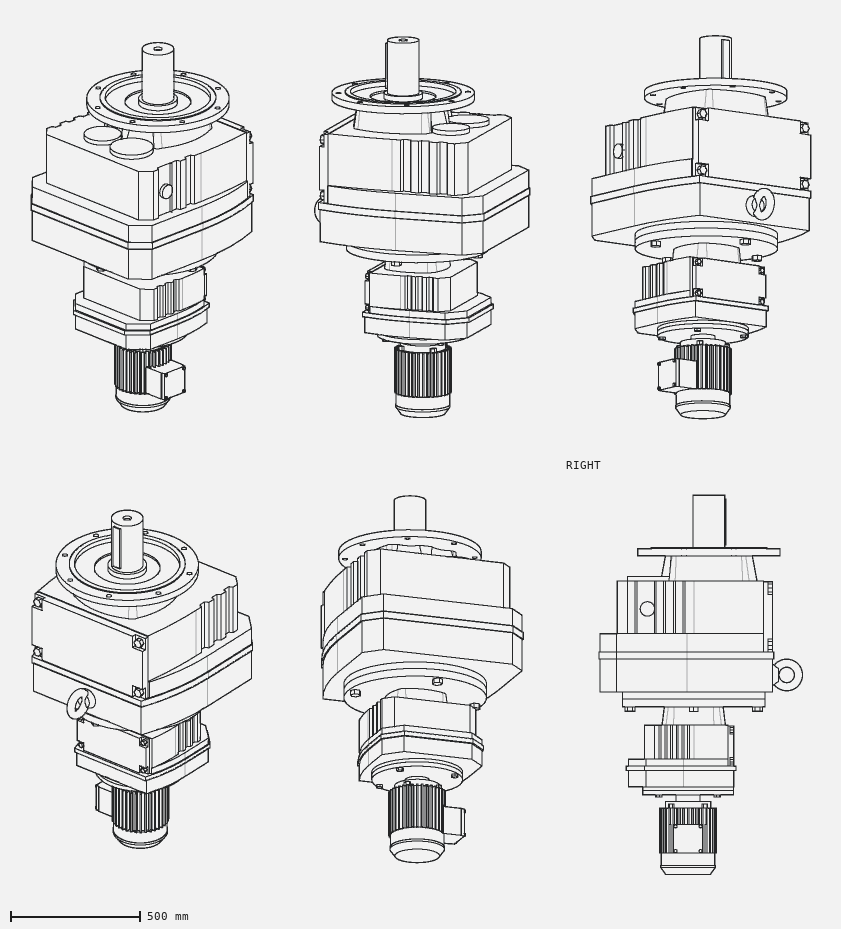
import cadquery as cq
import math


cowl_chamfer_z = 26.0
cowl_band_top_z = 35.0
fins_bottom_z = 84.0
box_top_z = 194.0
fins_top_z = 257.0
motor_disc_top_z = 284.0
motor_flange_bottom_z = 309.0
motor_joint_z = 326.0
small_lower_z = 340.0
small_rib_bottom_z = 403.0
small_rib_top_z = 420.0
small_mid_top_z = 447.0
small_top_z = 579.0
input_flange_bottom_z = 650.0
main_joint_z = 680.0
main_lower_z = 707.0
main_rib_bottom_z = 835.0
main_rib_top_z = 863.0
main_mid_top_z = 933.0
main_top_z = 1138.0
output_flange_bottom_z = 1235.0
output_flange_top_z = 1263.0
spigot_top_z = 1267.0
shaft_top_z = 1470.0

small_axis_y = -59.0
motor_axis_y = -81.0

large_flange_radius = 276.0
large_flange_bolt_circle = 247.0
small_flange_radius = 176.0
small_flange_bolt_circle = 160.0

shaft_radius = 62.0
spigot_radius = 225.0
output_recess_radius = 205.0
output_recess_floor_z = 1248.0
seal_recess_radius = 128.0
seal_recess_floor_z = 1240.0
collar_radius = 75.0
collar_top_z = 1261.0
flange_hole_count = 8
flange_hole_radius = 9.5
flange_hole_circle = 251.0
key_half_width = 16.0
key_top_y = 66.0
key_bottom_z = 1277.0
key_top_z = 1455.0
center_hole_diameter = 24.0
center_hole_sink_diameter = 32.0
center_hole_depth = 44.0
center_hole_sink_angle = 60

main_neck_bottom = (187.0, (131.0, 156.0), 209.0)
main_neck_top = (169.0, (126.0, 143.0), 194.0)
small_neck_bottom = (123.0, (78.0, 107.0), 135.0)
small_neck_top = (115.0, (76.0, 98.0), 128.0)

main_upper_plan = (295.0, 273.0, -356.0, -57.0, 212.0, 41.0)
main_mid_plan = (331.0, 281.0, -422.0, -85.0, 212.0, 65.0)
main_rib_plan = (335.0, 272.0, -426.0, -85.0, 251.0, 68.0)
main_lower_plan = (331.0, 268.0, -422.0, -85.0, 247.0, 65.0)
small_upper_plan = (194.0, 182.0, -250.0, -57.0, 74.0, 38.0)
small_mid_plan = (207.0, 181.0, -312.0, -98.0, 74.0, 68.0)
small_rib_plan = (212.0, 176.0, -320.0, -98.0, 106.0, 70.0)
small_lower_plan = (207.0, 173.0, -312.0, -98.0, 97.0, 68.0)

slot_count = 3
main_slots = (-115.0, 75.0, 44.0, 30.0, 15.0)
small_slots = (-90.0, 44.0, 30.0, 15.0, 10.0)

main_pad = (275.0, 212.0, 247.0, 1135.0)
small_pad = (170.0, 74.0, 97.0, 576.0)
main_pad_pocket = (50.0, 18.0, 35.0)
small_pad_pocket = (32.0, 15.0, 20.0)

main_side_x = main_upper_plan[0]
main_back_y = main_lower_plan[4]
cap_top_z = 1155.0
cap_scallop_clearance = 6.0
bearing_caps = ((-78.0, -223.0, 72.0), (91.0, -232.0, 84.0))
plug_radius = 28.0
plug_y = -238.0
plug_z = 1029.0
plug_depth = main_slots[-1]
eye_outer_y = 363.0
eye_z = 773.0
eye_ring_radius = 45.0
eye_wire_radius = 16.0
eye_y = eye_outer_y - eye_ring_radius - eye_wire_radius
eye_boss_top_y = 270.0
eye_boss_base_radius = 41.0
eye_boss_top_radius = 30.0

input_bolt_bottom_z = 632.0
input_bolt_diameter = 40.0
motor_bolt_bottom_z = 300.0
motor_bolt_diameter = 26.0
disc_screw_top_z = 273.0
disc_screw_circle = 90.0
disc_screw_diameter = 26.0
bolt_count = 4
input_bolt_angle = 0
motor_bolt_angle = 45

neck_radius = 47.0
motor_disc_radius = 88.0
cowl_radius = 105.0
cowl_band_radius = 106.0
cowl_bottom_radius = 87.0
fin_root_radius = 94.0
fin_tip_radius = 110.0
fin_count = 36
fin_thickness = 6.0
fin_root_overlap = 3.0
box_half_depth = 59.0
lid_half_depth = 56.0
box_fin_gap_x = 82.0
box_side_x = 160.0
lid_side_x = 175.0
lid_screw_side_x = 180.0
lid_screw_radius = 6.0
lid_screw_inset = 7.0


def cylinder(radius, bottom_z, top_z, x=0, y=0):
    """Upright round post."""
    base = cq.Workplane("XY", origin=(x, y, bottom_z))
    return base.circle(radius).extrude(top_z - bottom_z)


def cone(bottom_radius, top_radius, bottom_z, top_z, y=0):
    """Upright truncated cone."""
    profile = [(0, bottom_z), (bottom_radius, bottom_z), (top_radius, top_z), (0, top_z)]
    return cq.Workplane("XZ").polyline(profile).close().revolve(360, (0, 0), (0, 1)).translate((0, y, 0))


def block(x_range, y_range, z_range):
    """Box given by its limits along each axis."""
    size = [high - low for low, high in (x_range, y_range, z_range)]
    return cq.Workplane("XY").box(*size, centered=False).translate((x_range[0], y_range[0], z_range[0]))


def housing_section(plan, bottom_z, top_z):
    """Prism with chamfered front corners and sides that curve inward toward the back."""
    half_width, back_half_width, front_y, arc_y, back_y, chamfer = plan
    inset = half_width - back_half_width
    length = back_y - arc_y
    side_radius = (length**2 + inset**2) / (2 * inset)
    half_angle = math.asin(length / side_radius) / 2
    middle_x = half_width - side_radius * (1 - math.cos(half_angle))
    middle_y = arc_y + side_radius * math.sin(half_angle)
    return (
        cq.Workplane("XY", origin=(0, 0, bottom_z))
        .moveTo(chamfer - half_width, front_y)
        .lineTo(half_width - chamfer, front_y)
        .lineTo(half_width, front_y + chamfer)
        .lineTo(half_width, arc_y)
        .threePointArc((middle_x, middle_y), (back_half_width, back_y))
        .lineTo(-back_half_width, back_y)
        .threePointArc((-middle_x, middle_y), (-half_width, arc_y))
        .lineTo(-half_width, front_y + chamfer)
        .close()
        .extrude(top_z - bottom_z)
    )


def side_slots(half_width, slots, bottom_z, top_z):
    """Vertical slots with sloping walls, cut into both sides of a housing."""
    first_y, pitch, mouth_width, floor_width, depth = slots
    floor_x = half_width - depth
    cutter = cq.Workplane("XY")
    for index in range(slot_count):
        y = first_y - index * pitch
        for side in (-1, 1):
            profile = [
                (side * half_width, y - mouth_width / 2),
                (side * half_width, y + mouth_width / 2),
                (side * floor_x, y + floor_width / 2),
                (side * floor_x, y - floor_width / 2),
            ]
            slot = cq.Workplane("XY", origin=(0, 0, bottom_z)).polyline(profile).close()
            cutter = cutter.union(slot.extrude(top_z - bottom_z))
    return cutter


def flange_neck(bottom, top, bottom_z, top_z, y=0):
    """Tapered neck between two rounded squares with bulged sides."""
    base = rounded_square(cq.Workplane("XY", origin=(0, y, bottom_z)), bottom)
    return rounded_square(base.workplane(offset=top_z - bottom_z), top).loft(ruled=True)


def rounded_square(plane, shape):
    """Outline of four bulged sides joined by corner arcs."""
    axis_reach, (along, outward), diagonal_reach = shape
    corner = diagonal_reach / math.sqrt(2)
    outline = plane.moveTo(outward, -along)
    for ux, uy in ((1, 0), (0, 1), (-1, 0), (0, -1)):
        side_middle = (axis_reach * ux, axis_reach * uy)
        side_end = (outward * ux - along * uy, outward * uy + along * ux)
        corner_middle = (corner * (ux - uy), corner * (ux + uy))
        next_side = (along * ux - outward * uy, along * uy + outward * ux)
        outline = outline.threePointArc(side_middle, side_end).threePointArc(corner_middle, next_side)
    return outline.close()


def back_pad(pad_limits, pocket_sizes, bottom_z):
    """Mounting pad on the back, with a screw in a pocket at each of its four corners."""
    half_width, front_y, back_y, top_z = pad_limits
    pocket, pocket_depth, screw_diameter = pocket_sizes
    pocket_floor_y = back_y - pocket_depth
    pad = block((-half_width, half_width), (front_y, back_y), (bottom_z, top_z))
    for side in (-1, 1):
        for low_z in (bottom_z, top_z - pocket):
            x = side * (half_width - pocket / 2)
            x_range = (x - pocket / 2, x + pocket / 2)
            pad = pad.cut(block(x_range, (pocket_floor_y, back_y), (low_z, low_z + pocket)))
            seat = cq.Workplane("XZ", origin=(x, pocket_floor_y, low_z + pocket / 2))
            pad = pad.union(seat.polygon(6, screw_diameter).extrude(-pocket_depth))
    return pad


def hex_heads(first_angle, bolt_circle, diameter, bottom_z, top_z, y):
    """Ring of hexagonal bolt heads."""
    return (
        cq.Workplane("XY", origin=(0, y, bottom_z))
        .polarArray(bolt_circle, first_angle, 360, bolt_count)
        .polygon(6, diameter)
        .extrude(top_z - bottom_z)
    )


def main_housing():
    """Stepped housing with joint rib, side slots, back pad and input-side disc."""
    upper = housing_section(main_upper_plan, main_mid_top_z, main_top_z)
    upper = upper.cut(side_slots(main_upper_plan[0], main_slots, main_mid_top_z, main_top_z))
    mid = housing_section(main_mid_plan, main_rib_top_z, main_mid_top_z)
    rib = housing_section(main_rib_plan, main_rib_bottom_z, main_rib_top_z)
    lower = housing_section(main_lower_plan, main_lower_z, main_rib_bottom_z)
    pad = back_pad(main_pad, main_pad_pocket, main_rib_top_z)
    disc = cylinder(large_flange_radius, main_joint_z, main_lower_z, y=small_axis_y)
    return upper.union(mid).union(rib).union(lower).union(pad).union(disc)


def level_plug():
    """Round plug on the +X side, flush with the side face."""
    plane = cq.Workplane("YZ", origin=(main_side_x - plug_depth, plug_y, plug_z))
    return plane.circle(plug_radius).extrude(plug_depth)


def plug_recess():
    """Widening of the front slot on the +X side that makes room for the plug."""
    x_range = (main_side_x - plug_depth, main_side_x)
    y_range = (plug_y - plug_radius, plug_y + plug_radius)
    return block(x_range, y_range, (main_mid_top_z, main_top_z))


def lifting_eye():
    """Ring bolt on the back, on a tapered round boss."""
    ring = (
        cq.Workplane("XY", origin=(0, eye_y, eye_z))
        .center(0, eye_ring_radius)
        .circle(eye_wire_radius)
        .revolve(360, (-15, -eye_ring_radius), (15, -eye_ring_radius))
    )
    boss = (
        cq.Workplane("XZ", origin=(0, main_back_y, eye_z))
        .circle(eye_boss_base_radius)
        .workplane(offset=main_back_y - eye_boss_top_y)
        .circle(eye_boss_top_radius)
        .loft()
    )
    return ring.union(boss)


def output_flange():
    """Tapered neck and flange with centring spigot, stepped recess and bolt holes."""
    neck = flange_neck(main_neck_bottom, main_neck_top, main_top_z, output_flange_bottom_z)
    for x, y, radius in bearing_caps:
        scallop = cylinder(radius + cap_scallop_clearance, main_top_z, output_flange_bottom_z, x, y)
        neck = neck.cut(scallop)
    flange = cylinder(large_flange_radius, output_flange_bottom_z, output_flange_top_z)
    flange = flange.union(cylinder(spigot_radius, output_flange_top_z, spigot_top_z))
    flange = flange.cut(cylinder(output_recess_radius, output_recess_floor_z, spigot_top_z))
    flange = flange.cut(cylinder(seal_recess_radius, seal_recess_floor_z, spigot_top_z))
    holes = (
        cq.Workplane("XY", origin=(0, 0, output_flange_bottom_z))
        .polarArray(flange_hole_circle, 180 / flange_hole_count, 360, flange_hole_count)
        .circle(flange_hole_radius)
        .extrude(output_flange_top_z - output_flange_bottom_z)
    )
    return neck.union(flange.cut(holes))


def output_shaft():
    """Keyed shaft with a countersunk centre hole, rising from a collar."""
    shaft = cylinder(shaft_radius, seal_recess_floor_z, shaft_top_z)
    shaft = shaft.faces(">Z").workplane().cskHole(
        center_hole_diameter, center_hole_sink_diameter, center_hole_sink_angle, center_hole_depth
    )
    collar = cylinder(collar_radius, seal_recess_floor_z, collar_top_z)
    key = block((-key_half_width, key_half_width), (shaft_radius / 2, key_top_y), (key_bottom_z, key_top_z))
    return shaft.union(collar).union(key)


def build_main_unit():
    unit = main_housing().cut(plug_recess()).union(level_plug()).union(lifting_eye())
    for x, y, radius in bearing_caps:
        unit = unit.union(cylinder(radius, main_top_z, cap_top_z, x, y))
    return unit.union(output_flange()).union(output_shaft())


def small_housing():
    """Stepped housing with joint rib, side slots, back pad and motor-side disc."""
    upper = housing_section(small_upper_plan, small_mid_top_z, small_top_z)
    upper = upper.cut(side_slots(small_upper_plan[0], small_slots, small_mid_top_z, small_top_z))
    mid = housing_section(small_mid_plan, small_rib_top_z, small_mid_top_z)
    rib = housing_section(small_rib_plan, small_rib_bottom_z, small_rib_top_z)
    lower = housing_section(small_lower_plan, small_lower_z, small_rib_bottom_z)
    pad = back_pad(small_pad, small_pad_pocket, small_rib_top_z)
    disc = cylinder(small_flange_radius, motor_joint_z, small_lower_z, y=motor_axis_y)
    return upper.union(mid).union(rib).union(lower).union(pad).union(disc)


def input_flange():
    """Tapered neck and flange, with bolt heads under it, that carry the main unit."""
    neck = flange_neck(
        small_neck_bottom, small_neck_top, small_top_z, input_flange_bottom_z, small_axis_y
    )
    flange = cylinder(large_flange_radius, input_flange_bottom_z, main_joint_z, y=small_axis_y)
    heads = hex_heads(
        input_bolt_angle,
        large_flange_bolt_circle,
        input_bolt_diameter,
        input_bolt_bottom_z,
        input_flange_bottom_z,
        small_axis_y,
    )
    return neck.union(flange).union(heads)


def build_small_unit():
    return small_housing().union(input_flange())


def motor_mount():
    """Flange with bolt heads, neck and end disc with its screws."""
    flange = cylinder(small_flange_radius, motor_flange_bottom_z, motor_joint_z, y=motor_axis_y)
    heads = hex_heads(
        motor_bolt_angle,
        small_flange_bolt_circle,
        motor_bolt_diameter,
        motor_bolt_bottom_z,
        motor_flange_bottom_z,
        motor_axis_y,
    )
    neck = cylinder(neck_radius, motor_disc_top_z, motor_flange_bottom_z, y=motor_axis_y)
    disc = cylinder(motor_disc_radius, fins_top_z, motor_disc_top_z, y=motor_axis_y)
    screws = hex_heads(
        motor_bolt_angle,
        disc_screw_circle,
        disc_screw_diameter,
        fins_top_z,
        disc_screw_top_z,
        motor_axis_y,
    )
    return flange.union(heads).union(neck).union(disc).union(screws)


def finned_frame():
    """Round frame with radial cooling fins, left out around the terminal box."""
    fin_height = fins_top_z - fins_bottom_z
    fin_start = fin_root_radius - fin_root_overlap
    fins = (
        cq.Workplane("XY", origin=(0, motor_axis_y, fins_bottom_z))
        .polarArray((fin_start + fin_tip_radius) / 2, 0, 360, fin_count)
        .rect(fin_tip_radius - fin_start, fin_thickness)
        .extrude(fin_height)
    )
    gap_y = (motor_axis_y - fin_tip_radius, motor_axis_y + fin_tip_radius)
    fins = fins.cut(block((box_fin_gap_x, box_side_x), gap_y, (fins_bottom_z, box_top_z)))
    return cylinder(fin_root_radius, fins_bottom_z, fins_top_z, y=motor_axis_y).union(fins)


def fan_cowl():
    """Round fan cover with a slightly wider band above its chamfered bottom edge."""
    cover = cylinder(cowl_radius, cowl_band_top_z, fins_bottom_z, y=motor_axis_y)
    band = cylinder(cowl_band_radius, cowl_chamfer_z, cowl_band_top_z, y=motor_axis_y)
    edge = cone(cowl_bottom_radius, cowl_band_radius, 0, cowl_chamfer_z, motor_axis_y)
    return cover.union(band).union(edge)


def terminal_box():
    """Box on the +X side with a lid and four lid screws."""
    z_range = (fins_bottom_z, box_top_z)
    box_y = (motor_axis_y - box_half_depth, motor_axis_y + box_half_depth)
    lid_y = (motor_axis_y - lid_half_depth, motor_axis_y + lid_half_depth)
    box = block((0, box_side_x), box_y, z_range)
    lid = block((box_side_x, lid_side_x), lid_y, z_range)
    screws = (
        cq.Workplane("YZ", origin=(lid_side_x, motor_axis_y, (fins_bottom_z + box_top_z) / 2))
        .rect(
            2 * (lid_half_depth - lid_screw_inset),
            box_top_z - fins_bottom_z - 2 * lid_screw_inset,
            forConstruction=True,
        )
        .vertices()
        .circle(lid_screw_radius)
        .extrude(lid_screw_side_x - lid_side_x)
    )
    return box.union(lid).union(screws)


def build_motor():
    return motor_mount().union(finned_frame()).union(fan_cowl()).union(terminal_box())


main_unit = build_main_unit()
small_unit = build_small_unit()
motor = build_motor()
result = cq.Compound.makeCompound([main_unit.val(), small_unit.val(), motor.val()])